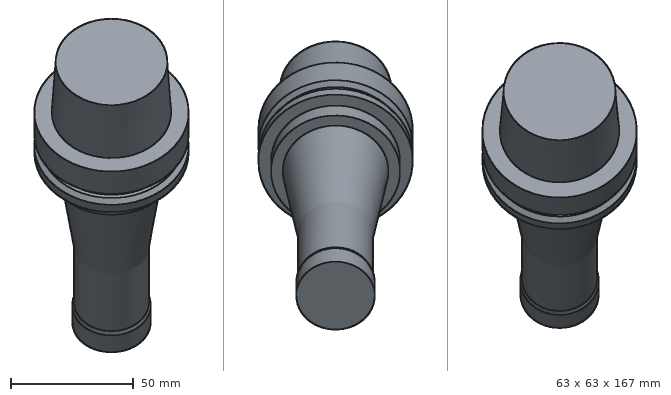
import cadquery as cq

total_length = 167.0
shank_length = 32.0
flange_height = 26.0
flange_top = total_length - shank_length
flange_bottom = flange_top - flange_height
groove_top = 120.5
groove_bottom = 113.5
bevel_height = 1.5
bevel_width = 2.3
collar_bottom = 100.9
neck_top = 51.8
neck_blend_end = 49.6
nose_blend_start = 12.9
nose_top = 10.9

shank_top_dia = 45.6
shank_base_dia = 48.8
flange_dia = 63.0
groove_dia = 55.0
collar_dia = 52.6
cone_top_dia = 43.1
cone_bottom_dia = 31.2
neck_dia = 30.7
nose_dia = 32.0

profile = [
    (nose_dia, 0),
    (nose_dia, nose_top),
    (neck_dia, nose_blend_start),
    (neck_dia, neck_blend_end),
    (cone_bottom_dia, neck_top),
    (cone_top_dia, collar_bottom),
    (collar_dia, collar_bottom),
    (collar_dia, flange_bottom),
    (flange_dia, flange_bottom),
    (flange_dia, groove_bottom),
    (flange_dia - 2 * bevel_width, groove_bottom + bevel_height),
    (groove_dia, groove_bottom + bevel_height),
    (groove_dia, groove_top - bevel_height),
    (flange_dia - 2 * bevel_width, groove_top - bevel_height),
    (flange_dia, groove_top),
    (flange_dia, flange_top),
    (shank_base_dia, flange_top),
    (shank_top_dia, total_length),
]

half_section = [(0, 0)]
half_section += [(diameter / 2, height) for diameter, height in profile]
half_section.append((0, total_length))

result = cq.Workplane("XZ").polyline(half_section).close().revolve(360, (0, 0, 0), (0, 1, 0))